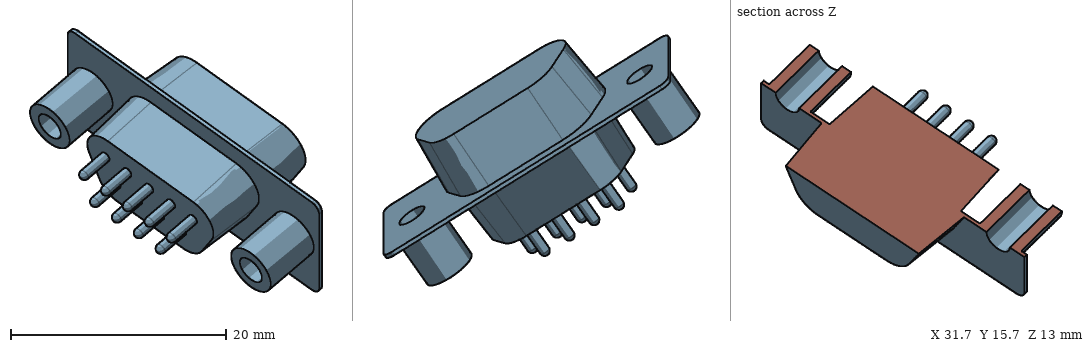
import cadquery as cq
import math

FLANGE_WIDTH = 31.7
FLANGE_HEIGHT = 13.0
FLANGE_THICKNESS = 0.4
FLANGE_CORNER_RADIUS = 0.95

TOP_CENTRE_X = 5.4
BOTTOM_CENTRE_X = 4.12
CORNER_CENTRE_Z = 1.4
SHELL_LENGTH = 5.93
FRONT_BASE_RADIUS = 2.88
FRONT_TAPER_ANGLE = 3.0
REAR_BASE_RADIUS = 3.5
REAR_TAPER_ANGLE = 5.0

STANDOFF_X = 12.68
STANDOFF_DIAMETER = 5.0
STANDOFF_HOLE_DIAMETER = 2.8

PIN_DIAMETER = 1.0
NOSE_ROUNDNESS = 0.99
PIN_PITCH = 2.75
PIN_ROW_SPACING = 2.85
PIN_ARRAY_X = -0.13
PIN_PROJECTION = 3.42
TOP_ROW_COUNT = 5
BOTTOM_ROW_COUNT = 4


def d_outline(y, radius):
    """Closed D-shaped wire in the plane at the given Y; all four corners share one radius."""
    side_angle = math.atan2(TOP_CENTRE_X - BOTTOM_CENTRE_X, 2 * CORNER_CENTRE_Z)

    def on_arc(centre_x, centre_z, angle):
        return centre_x + radius * math.cos(angle), centre_z + radius * math.sin(angle)

    def top_right(angle):
        return on_arc(TOP_CENTRE_X, CORNER_CENTRE_Z, angle)

    def bottom_right(angle):
        return on_arc(BOTTOM_CENTRE_X, -CORNER_CENTRE_Z, angle)

    def mirrored(point):
        return -point[0], point[1]

    up = math.pi / 2
    down = -math.pi / 2
    top_middle = (up - side_angle) / 2
    bottom_middle = (down - side_angle) / 2
    return (
        cq.Workplane("XZ", origin=(0, y, 0))
        .moveTo(*mirrored(top_right(up)))
        .lineTo(*top_right(up))
        .threePointArc(top_right(top_middle), top_right(-side_angle))
        .lineTo(*bottom_right(-side_angle))
        .threePointArc(bottom_right(bottom_middle), bottom_right(down))
        .lineTo(*mirrored(bottom_right(down)))
        .threePointArc(mirrored(bottom_right(bottom_middle)), mirrored(bottom_right(-side_angle)))
        .lineTo(*mirrored(top_right(-side_angle)))
        .threePointArc(mirrored(top_right(top_middle)), mirrored(top_right(up)))
        .close()
        .wire()
        .val()
    )


def tapered_shell(base_y, end_y, base_radius, taper_angle):
    """D-shaped block narrowing from the flange to its free end."""
    end_radius = base_radius - SHELL_LENGTH * math.tan(math.radians(taper_angle))
    wires = [d_outline(base_y, base_radius), d_outline(end_y, end_radius)]
    return cq.Workplane(cq.Solid.makeLoft(wires, True))


def cylinder_forward(x, z, start_y, diameter, length):
    """Cylinder that starts at start_y and runs toward -Y."""
    return cq.Workplane("XZ", origin=(x, start_y, z)).circle(diameter / 2).extrude(length)


def pin(x, z):
    """Contact pin with a nearly hemispherical nose."""
    body = cylinder_forward(x, z, -SHELL_LENGTH, PIN_DIAMETER, PIN_PROJECTION)
    nose_radius = NOSE_ROUNDNESS * PIN_DIAMETER / 2
    return body.faces("<Y").edges().fillet(nose_radius)


flange = (
    cq.Workplane("XZ", origin=(0, FLANGE_THICKNESS, 0))
    .rect(FLANGE_WIDTH, FLANGE_HEIGHT)
    .extrude(FLANGE_THICKNESS)
    .edges("|Y")
    .fillet(FLANGE_CORNER_RADIUS)
)

front_shell = tapered_shell(0, -SHELL_LENGTH, FRONT_BASE_RADIUS, FRONT_TAPER_ANGLE)
rear_shell = tapered_shell(
    FLANGE_THICKNESS, FLANGE_THICKNESS + SHELL_LENGTH, REAR_BASE_RADIUS, REAR_TAPER_ANGLE
)

result = flange.union(rear_shell).union(front_shell)

for x in (-STANDOFF_X, STANDOFF_X):
    standoff = cylinder_forward(x, 0, 0, STANDOFF_DIAMETER, SHELL_LENGTH)
    bore_length = FLANGE_THICKNESS + SHELL_LENGTH
    bore = cylinder_forward(x, 0, FLANGE_THICKNESS, STANDOFF_HOLE_DIAMETER, bore_length)
    result = result.union(standoff).cut(bore)

for count, z in ((TOP_ROW_COUNT, PIN_ROW_SPACING / 2), (BOTTOM_ROW_COUNT, -PIN_ROW_SPACING / 2)):
    for index in range(count):
        x = PIN_ARRAY_X + (index - (count - 1) / 2) * PIN_PITCH
        result = result.union(pin(x, z))